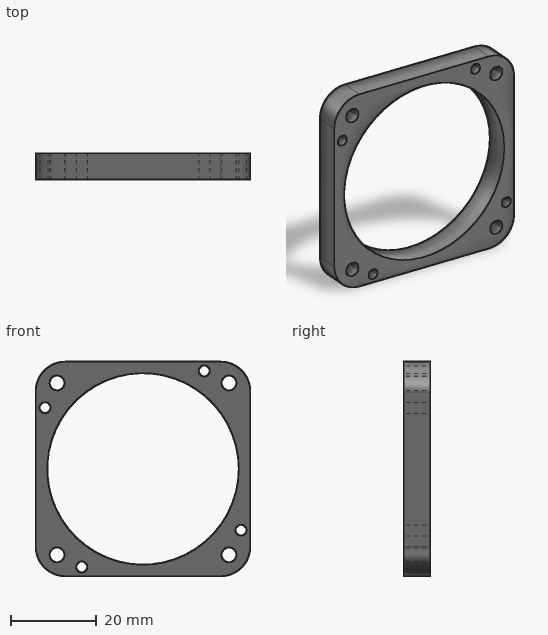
import cadquery as cq

side = 50
thickness = 6.2
corner_radius = 7
bore_diameter = 44.5

corner_hole_diameter = 3.4
corner_hole_spacing = 40

edge_hole_diameter = 2.5
edge_hole_along = 14.25
edge_hole_across = 22.8
edge_hole_points = [
    (edge_hole_along, edge_hole_across),
    (-edge_hole_along, -edge_hole_across),
    (edge_hole_across, -edge_hole_along),
    (-edge_hole_across, edge_hole_along),
]


def front_face_plane():
    """Sketch plane on the front face; a negative extrusion runs along +Y."""
    return cq.Workplane("XZ", origin=(0, -thickness / 2, 0))


def through_holes(points, diameter):
    """Cylinders through the full plate thickness at (x, z) points."""
    return front_face_plane().pushPoints(points).circle(diameter / 2).extrude(-thickness)


plate = front_face_plane().rect(side, side).extrude(-thickness).edges("|Y").fillet(corner_radius)

half_spacing = corner_hole_spacing / 2
corner_hole_points = [
    (x, z) for x in (-half_spacing, half_spacing) for z in (-half_spacing, half_spacing)
]

result = (
    plate
    .cut(through_holes([(0, 0)], bore_diameter))
    .cut(through_holes(corner_hole_points, corner_hole_diameter))
    .cut(through_holes(edge_hole_points, edge_hole_diameter))
)